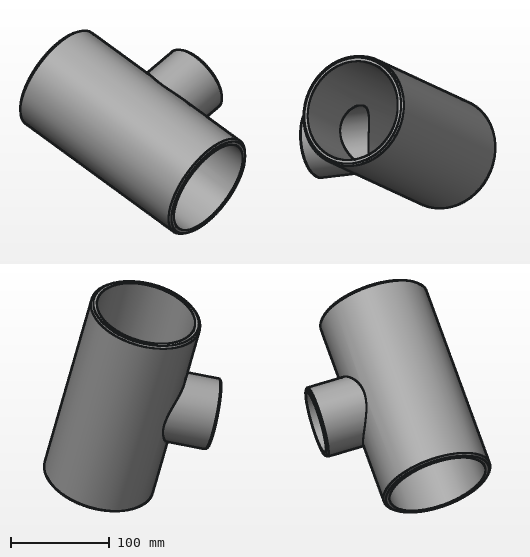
import cadquery as cq

run_length = 209.3
run_outer_diameter = 114.3
run_bore_diameter = 102.5

branch_reach = 95.2
branch_outer_diameter = 73.3
branch_wall = 4.8
branch_bore_diameter = branch_outer_diameter - 2 * branch_wall

run_bevel = 2.0
branch_bevel = 1.7


def run_cylinder(diameter):
    """Solid cylinder along X over the full length of the run."""
    return cq.Workplane("YZ").circle(diameter / 2).extrude(run_length / 2, both=True)


def branch_cylinder(diameter):
    """Solid cylinder from the run axis to the branch end face."""
    return cq.Workplane("XZ").circle(diameter / 2).extrude(-branch_reach)


run = run_cylinder(run_outer_diameter).faces("<X or >X").chamfer(run_bevel)
branch = branch_cylinder(branch_outer_diameter).faces(">Y").chamfer(branch_bevel)

result = (
    run.union(branch)
    .cut(run_cylinder(run_bore_diameter))
    .cut(branch_cylinder(branch_bore_diameter))
)